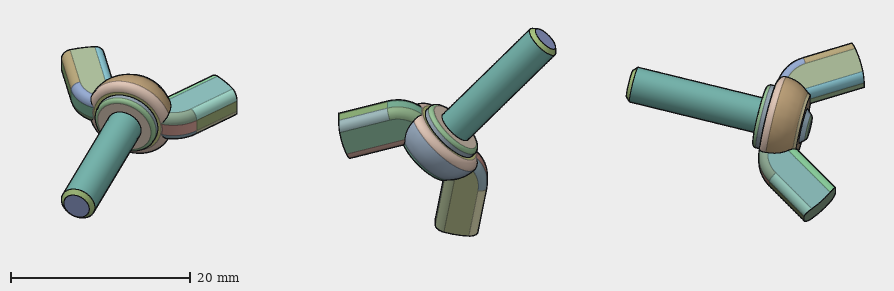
import cadquery as cq
import math


shank_radius = 2.0
shank_length = 15.0
tip_chamfer = 0.48

collar_radius = 3.63
collar_height = 1.0
collar_fillet = 0.45

head_radius = 4.9
head_height = 4.01
head_bottom_fillet = 0.9
dome_arc_radius = 4.0
rim_bottom_radius = 3.75
rim_top_radius = 3.55

stub_height = 0.75
stub_top_radius = 1.3
stub_fillet = 0.6

wing_angle = math.radians(32)
wing_width = 4.85
wing_thickness = 3.5
wing_edge_fillet = 1.02
wing_bend_radius = 4.32
wing_bend_start = 3.84
wing_straight_length = 5.66
wing_end_bulge = 0.25
wing_root_depth = 2.03

head_bottom = shank_length + collar_height
head_top = head_bottom + head_height
stub_top = head_top + stub_height


def turned(outline):
    """Revolve a closed XY outline around the Y axis."""
    return outline.close().revolve(360, (0, 0, 0), (0, 1, 0))


def make_shank():
    shank = turned(
        cq.Workplane("XY")
        .lineTo(shank_radius - tip_chamfer, 0)
        .lineTo(shank_radius, tip_chamfer)
        .lineTo(shank_radius, head_top)
        .lineTo(stub_top_radius, stub_top)
        .lineTo(0, stub_top)
    )
    return shank.faces(">Y").edges().fillet(stub_fillet)


def make_collar():
    collar = turned(
        cq.Workplane("XY")
        .moveTo(0, shank_length)
        .lineTo(collar_radius, shank_length)
        .lineTo(collar_radius, head_bottom)
        .lineTo(0, head_bottom)
    )
    return collar.faces("<Y").edges().fillet(collar_fillet)


def make_head():
    widest = head_bottom + head_bottom_fillet
    dome_center = head_radius - dome_arc_radius
    dome_rise = math.sqrt(dome_arc_radius**2 - (rim_bottom_radius - dome_center) ** 2)
    return turned(
        cq.Workplane("XY")
        .moveTo(0, head_bottom)
        .lineTo(head_radius - head_bottom_fillet, head_bottom)
        .radiusArc((head_radius, widest), -head_bottom_fillet)
        .radiusArc((rim_bottom_radius, widest + dome_rise), -dome_arc_radius)
        .lineTo(rim_top_radius, head_top)
        .lineTo(0, head_top)
    )


def make_wing():
    """Wing on the +X side, bent upward and rounded along its long edges."""
    along = (math.sin(wing_angle), math.cos(wing_angle))
    inward = (-along[1], along[0])
    bend_turn = math.pi / 2 - wing_angle

    def step(point, direction, distance):
        return (point[0] + direction[0] * distance, point[1] + direction[1] * distance)

    bend_end = (
        wing_bend_start + wing_bend_radius * math.sin(bend_turn),
        head_bottom + wing_bend_radius * (1 - math.cos(bend_turn)),
    )
    outer_tip = step(bend_end, along, wing_straight_length)
    inner_tip = step(outer_tip, inward, wing_width)
    end_middle = step(step(outer_tip, inward, wing_width / 2), along, wing_end_bulge)
    head_crossing = step(inner_tip, along, (head_top - inner_tip[1]) / along[1])
    inner_root = step(head_crossing, along, -wing_root_depth)

    wing = (
        cq.Workplane("XY")
        .moveTo(inner_root[0], head_bottom)
        .lineTo(wing_bend_start, head_bottom)
        .radiusArc(bend_end, -wing_bend_radius)
        .lineTo(*outer_tip)
        .threePointArc(end_middle, inner_tip)
        .lineTo(*inner_root)
        .close()
        .extrude(wing_thickness / 2, both=True)
    )
    edge_middles = [
        step(bend_end, along, wing_straight_length / 2),
        ((inner_tip[0] + inner_root[0]) / 2, (inner_tip[1] + inner_root[1]) / 2),
    ]
    for x, y in edge_middles:
        for z in (-wing_thickness / 2, wing_thickness / 2):
            wing = wing.edges(cq.selectors.NearestToPointSelector((x, y, z))).fillet(wing_edge_fillet)
    return wing


wing = make_wing()
result = make_shank().union(make_collar()).union(make_head())
result = result.union(wing).union(wing.mirror("YZ"))